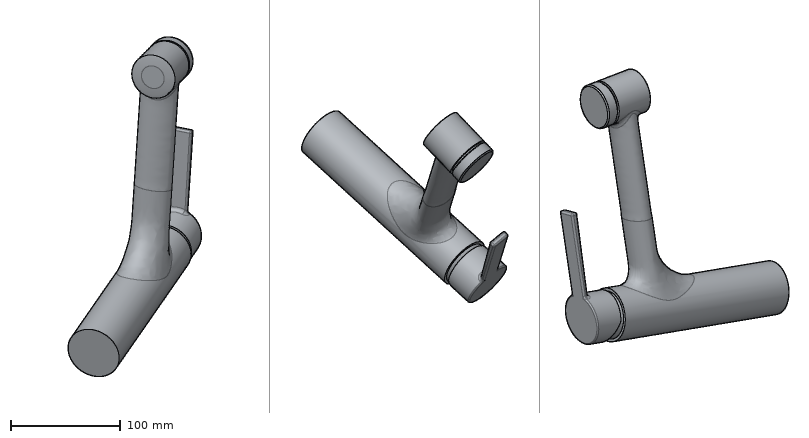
import cadquery as cq
import math

tilt = 10.0
tilt_tan = math.tan(math.radians(tilt))
tilt_cos = math.cos(math.radians(tilt))
tilt_sin = math.sin(math.radians(tilt))

body_radius = 50.0 / 2
body_length = 190.7

spout_foot_y = 146.7
spout_half_width = 36.0 / 2
spout_half_depth = 11.3
spout_start = 64.0

footprint_center_y = 133.5
footprint_half_length = 42.5
footprint_half_width = 23.5
body_overlap = 0.13
foot_root_radius = body_radius - body_overlap
front_rise = 40.5
back_rise = 16.9
round_weight = 0.7
loft_steps = 8
ring_points = 24

head_radius = 21.1
head_axis_height = 180.1
head_front = -21.1
head_length = 38.5
head_dome_drop = 1.5
head_disc_radius = 11.0
groove_width = 2.3
groove_depth = 2.5
core_overlap = 2.5
ring_length = 10.5
ring_chamfer = 1.3
head_blend = 5.0

cap_radius = 24.0
cap_start = 195.0
cap_face_y = 222.5
cap_edge_round = 1.3
relief_top = -1.8
relief_run = 9.5
collar_base_radius = 22.5
collar_tip_radius = 17.9
collar_length = 10.8
lever_width = 18.5
lever_tip = 104.2
lever_root_thickness = 4.3
lever_tip_thickness = 6.3
lever_edge_round = 1.8
lever_blend = 3.8

pick_margin = 2.5


def lean(shape, y, z):
    """Tilt a shape built about the origin, then place it at (y, z)."""
    return shape.rotate((0, 0, 0), (1, 0, 0), -tilt).translate((0, y, z))


def rod(radius, start, length, z=0):
    """Cylinder running toward +Y from the given start."""
    return cq.Workplane("XZ", origin=(0, start, z)).circle(radius).extrude(-length)


def make_body():
    return rod(body_radius, 0, body_length)


def make_head():
    dome_run = head_radius - head_disc_radius
    dome_radius = (dome_run**2 + head_dome_drop**2) / (2 * head_dome_drop)
    head = (
        cq.Workplane("XY")
        .moveTo(0, head_front)
        .lineTo(head_disc_radius, head_front)
        .radiusArc((head_radius, head_front + head_dome_drop), -dome_radius)
        .lineTo(head_radius, head_front + head_length)
        .lineTo(0, head_front + head_length)
        .close()
        .revolve(360, (0, 0, 0), (0, 1, 0))
        .translate((0, 0, head_axis_height))
    )
    groove_start = head_front + head_length
    core_length = groove_width + 2 * core_overlap
    core = rod(head_radius - groove_depth, groove_start - core_overlap, core_length, head_axis_height)
    ring = rod(head_radius, groove_start + groove_width, ring_length, head_axis_height)
    ring = ring.faces(">Y").chamfer(ring_chamfer)
    return lean(head.union(core).union(ring), spout_foot_y, body_radius)


def foot_corner(angle):
    """Start, corner and end of the foot's round at one angle about the spout."""
    start_x = footprint_half_width * math.cos(angle)
    start_y = footprint_center_y + footprint_half_length * math.sin(angle)
    start_z = math.sqrt(foot_root_radius**2 - start_x**2)
    wall_x = spout_half_width * math.cos(angle)
    wall_y = spout_foot_y + spout_half_depth / tilt_cos * math.sin(angle)
    corner_z = start_z + (start_x - wall_x) * start_x / start_z
    corner_y = wall_y + (corner_z - body_radius) * tilt_tan
    rise = (front_rise + back_rise) / 2 - (front_rise - back_rise) / 2 * math.sin(angle)
    end_y = corner_y + rise * tilt_tan
    return (
        cq.Vector(start_x, start_y, start_z),
        cq.Vector(wall_x, corner_y, corner_z),
        cq.Vector(wall_x, end_y, corner_z + rise),
    )


def foot_ring(fraction):
    """Closed curve around the foot, a given fraction of the way up its round."""
    points = []
    for i in range(ring_points):
        start, corner, end = foot_corner(2 * math.pi * i / ring_points)
        start_share = (1 - fraction) ** 2
        corner_share = 2 * round_weight * fraction * (1 - fraction)
        end_share = fraction**2
        blended = start * start_share + corner * corner_share + end * end_share
        points.append(blended / (start_share + corner_share + end_share))
    return cq.Wire.assembleEdges([cq.Edge.makeSpline(points, periodic=True)])


def spout_ring():
    """Flat curve around the spout, square to its axis, where the foot ends."""
    points = []
    for i in range(ring_points):
        angle = 2 * math.pi * i / ring_points
        x = spout_half_width * math.cos(angle)
        y = spout_half_depth * math.sin(angle)
        points.append(cq.Vector(x, y, spout_start))
    ring = cq.Wire.assembleEdges([cq.Edge.makeSpline(points, periodic=True)])
    return lean(ring, spout_foot_y, body_radius)


def make_foot(top_ring):
    """Flared foot: a skin lofted up the round to the spout, closed inside the body."""
    rings = [foot_ring(i / loft_steps) for i in range(loft_steps + 1)]
    skin = cq.occ_impl.shapes.loft(rings + [top_ring], cap=False)
    lower_cap = cq.Face.makeNSidedSurface(rings[0].Edges(), [cq.Vector(0, footprint_center_y, 0)])
    upper_cap = cq.Face.makeFromWires(top_ring)
    shell = cq.Shell.makeShell(skin.Faces() + [lower_cap, upper_cap])
    return cq.Workplane(cq.Solid.makeSolid(shell).fix())


def make_spout_head_and_foot():
    """Spout standing on the foot, rounded into the spray head."""
    top_ring = spout_ring()
    spout_length = head_axis_height - spout_start
    rise = cq.Vector(0, spout_length * tilt_sin, spout_length * tilt_cos)
    spout = cq.Workplane(cq.Solid.extrudeLinear(top_ring, [], rise))
    joined = make_head().union(spout)
    joint_z = body_radius + (head_axis_height - head_radius) * tilt_cos
    joint_y = spout_foot_y + (head_axis_height - head_radius) * tilt_sin
    joint_box = cq.selectors.BoxSelector(
        (-spout_half_width, joint_y - pick_margin, joint_z - pick_margin),
        (spout_half_width, joint_y + pick_margin, joint_z + head_radius / 2),
    )
    joined = joined.edges(joint_box).fillet(head_blend)
    return joined.union(make_foot(top_ring))


def make_cap_and_lever():
    collar = (
        cq.Workplane("XZ", origin=(0, body_length, 0))
        .circle(collar_base_radius)
        .workplane(offset=-collar_length)
        .circle(collar_tip_radius)
        .loft()
    )
    face_low_y = cap_face_y - cap_radius * tilt_tan
    face_high_y = cap_face_y + cap_radius * tilt_tan
    outline = (
        cq.Workplane("YZ", origin=(-cap_radius, 0, 0))
        .moveTo(cap_start, cap_radius)
        .lineTo(cap_start, relief_top)
        .lineTo(cap_start + relief_run, -cap_radius)
        .lineTo(face_low_y, -cap_radius)
        .lineTo(face_high_y, cap_radius)
        .close()
        .extrude(2 * cap_radius)
    )
    cap = rod(cap_radius, cap_start, face_high_y - cap_start).intersect(outline)
    outward = cq.Vector(0, tilt_cos, -tilt_sin)
    tilted_face = cq.selectors.DirectionMinMaxSelector(outward, True)
    cap = cap.faces(tilted_face).edges().fillet(cap_edge_round)

    lever = (
        cq.Workplane("YZ", origin=(-lever_width / 2, 0, 0))
        .polyline([(0, 0), (0, lever_tip), (-lever_tip_thickness, lever_tip), (-lever_root_thickness, 0)])
        .close()
        .extrude(lever_width)
        .faces(">Z or <X or >X")
        .edges("not(<Z)")
        .fillet(lever_edge_round)
    )
    lever = lean(lever, cap_face_y, 0)
    root_box = cq.selectors.BoxSelector(
        (-lever_width / 2 - pick_margin, cap_start + pick_margin, cap_radius - 2 * pick_margin),
        (lever_width / 2 + pick_margin, face_high_y, cap_radius + pick_margin),
    )
    handle = cap.union(lever)
    handle = handle.edges(root_box).fillet(lever_blend)
    return handle.union(collar)


result = make_body().union(make_spout_head_and_foot()).union(make_cap_and_lever())